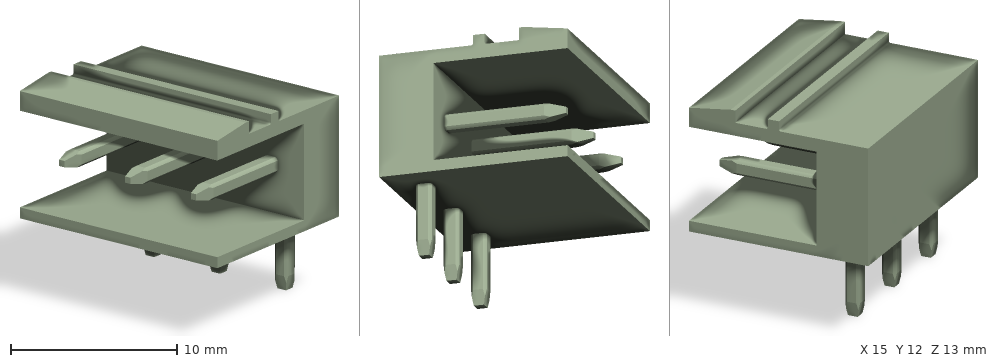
import cadquery as cq


housing_width = 15.0
housing_depth = 12.0
housing_height = 7.7
back_wall = 3.45
floor_thickness = 0.7
ceiling_thickness = 0.85

rib_height = 0.65
rib_depth = 0.75
rib_from_front = 5.28
rib_foot_radius = 0.12

latch_height = 0.8
latch_depth = 3.1
latch_flat = 0.3
latch_front_height = 0.4

pin_count = 3
pin_pitch = 5.0
pin_size = 1.0
pin_corner_diameter = 1.18
contact_height = 3.77
contact_recess = 0.9
contact_tip_length = 1.3
contact_tip_size = 0.4
solder_leg_length = 4.5
solder_leg_from_back = 2.1
solder_tip_length = 0.95
solder_tip_size = 0.65

back_y = solder_leg_from_back
front_y = back_y - housing_depth
cavity_back_y = back_y - back_wall
rib_front_y = front_y + rib_from_front
rib_back_y = rib_front_y + rib_depth
latch_back_y = front_y + latch_depth
contact_end_y = front_y + contact_recess
solder_end_z = -solder_leg_length


def make_housing_block():
    """C-shaped body, open to the front and at both ends, with rib and latch on top."""
    ceiling_z = housing_height - ceiling_thickness
    rib_top_z = housing_height + rib_height
    latch_top_z = housing_height + latch_height
    outline = [
        (back_y, 0),
        (back_y, housing_height),
        (rib_back_y, housing_height),
        (rib_back_y, rib_top_z),
        (rib_front_y, rib_top_z),
        (rib_front_y, housing_height),
        (latch_back_y, housing_height),
        (latch_back_y, latch_top_z),
        (latch_back_y - latch_flat, latch_top_z),
        (front_y, housing_height + latch_front_height),
        (front_y, ceiling_z),
        (cavity_back_y, ceiling_z),
        (cavity_back_y, floor_thickness),
        (front_y, floor_thickness),
        (front_y, 0),
    ]
    block = cq.Workplane("YZ").polyline(outline).close().extrude(housing_width / 2, both=True)
    back_foot = block.edges(cq.NearestToPointSelector((0, rib_back_y, housing_height)))
    front_foot = block.edges(cq.NearestToPointSelector((0, rib_front_y, housing_height)))
    return back_foot.add(front_foot).fillet(rib_foot_radius)


def make_tapered_leg(plane, length, tip_length, tip_size):
    """Sharp-edged square leg along the plane's normal, ending in a tapered tip."""
    half_size = pin_size / 2
    shank = (
        cq.Workplane(plane)
        .workplane(offset=-half_size)
        .rect(pin_size, pin_size)
        .extrude(length - tip_length + half_size)
    )
    return (
        shank.faces(cq.DirectionMinMaxSelector(plane.zDir, True))
        .workplane()
        .rect(pin_size, pin_size)
        .workplane(offset=tip_length)
        .rect(tip_size, tip_size)
        .loft(combine=True)
    )


def make_pin():
    """L-shaped pin: square legs with tapered tips, their long edges rounded by a mitred round bar."""
    path = cq.Workplane("YZ").polyline(
        [(0, solder_end_z), (0, contact_height), (contact_end_y, contact_height)]
    )
    round_bar = (
        cq.Workplane("XY", origin=(0, 0, solder_end_z))
        .circle(pin_corner_diameter / 2)
        .sweep(path, transition="right")
    )
    bend = (0, 0, contact_height)
    solder_plane = cq.Plane(origin=bend, xDir=(1, 0, 0), normal=(0, 0, -1))
    contact_plane = cq.Plane(origin=bend, xDir=(1, 0, 0), normal=(0, -1, 0))
    solder_leg = make_tapered_leg(
        solder_plane, contact_height - solder_end_z, solder_tip_length, solder_tip_size
    )
    contact_leg = make_tapered_leg(contact_plane, -contact_end_y, contact_tip_length, contact_tip_size)
    return round_bar.intersect(solder_leg.union(contact_leg))


pin = make_pin()
housing = make_housing_block()
pins = []
for index in range(pin_count):
    pin_x = (index - (pin_count - 1) / 2) * pin_pitch
    placed_pin = pin.translate((pin_x, 0, 0))
    housing = housing.cut(placed_pin)
    pins.append(placed_pin.solids().val())

result = cq.Compound.makeCompound([housing.solids().val(), *pins])